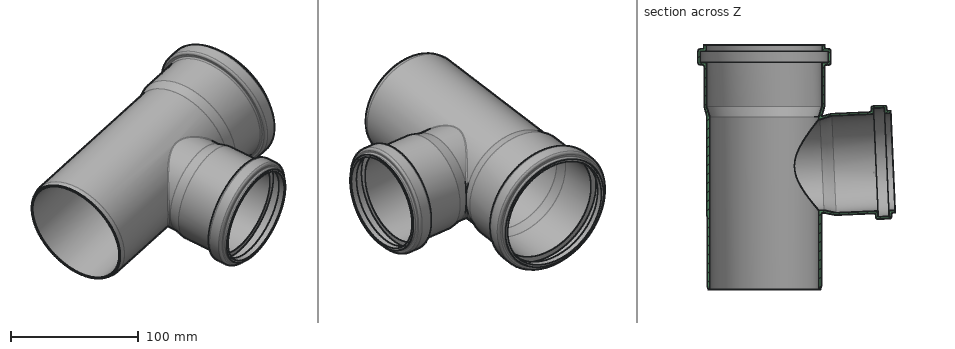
import cadquery as cq

RUN_LENGTH = 192.0
RUN_PIPE_D = 90.2
RUN_BORE_D = 85.4
SPIGOT_TAPER_LENGTH = 3.6
SPIGOT_END_D = 88.2

BRANCH_PIPE_D = 75.6
BRANCH_BORE_D = 71.0
BRANCH_TILT = 2.5
BRANCH_START_Y = RUN_LENGTH / 2
BRANCH_LENGTH = 101.18

SADDLE_FILLET = 1.0

LIP_LENGTH = 3.0
RING_EDGE_RADIUS = 2.0
RING_ROOT_RADIUS = 1.2

RUN_SOCKET = {
    "sleeve_d": 94.7,
    "ring_d": 104.5,
    "lip_d": 95.0,
    "wall": 2.1,
    "ring_back": 15.8,
    "sleeve_back": 48.2,
    "cone_back": 56.3,
}
BRANCH_SOCKET = {
    "sleeve_d": 80.0,
    "ring_d": 89.2,
    "lip_d": 80.3,
    "wall": 2.0,
    "ring_back": 15.5,
    "sleeve_back": 46.6,
    "cone_back": 56.0,
}


def revolve_about_y(profile):
    """Solid of revolution about Y from an open half section."""
    return profile.close().revolve(360, (0, 0, 0), (0, 1, 0))


def socket_body(length, pipe_d, socket):
    """Solid envelope of a socket: cone, sleeve, seal ring and lip, ending at Y = length."""
    sleeve_r = socket["sleeve_d"] / 2
    ring_r = socket["ring_d"] / 2
    lip_r = socket["lip_d"] / 2
    cone_foot = length - socket["cone_back"]
    ring_low = length - socket["ring_back"]
    ring_high = length - LIP_LENGTH
    edge = RING_EDGE_RADIUS
    root = RING_ROOT_RADIUS

    profile = (
        cq.Workplane("XY")
        .moveTo(0, cone_foot)
        .lineTo(pipe_d / 2, cone_foot)
        .lineTo(sleeve_r, length - socket["sleeve_back"])
        .lineTo(sleeve_r, ring_low - root)
        .radiusArc((sleeve_r + root, ring_low), root)
        .lineTo(ring_r - edge, ring_low)
        .radiusArc((ring_r, ring_low + edge), -edge)
        .lineTo(ring_r, ring_high - edge)
        .radiusArc((ring_r - edge, ring_high), -edge)
        .lineTo(lip_r + root, ring_high)
        .radiusArc((lip_r, ring_high + root), root)
        .lineTo(lip_r, length)
        .lineTo(0, length)
    )
    return revolve_about_y(profile)


def bore(length, bore_d, socket):
    """Inside space of a pipe and its socket along +Y, with a square seal groove in the ring."""
    wall = socket["wall"]
    sleeve_r = socket["sleeve_d"] / 2 - wall
    groove_r = socket["ring_d"] / 2 - wall
    lip_r = socket["lip_d"] / 2 - wall
    groove_low = length - socket["ring_back"] + wall
    groove_high = length - LIP_LENGTH - wall

    profile = (
        cq.Workplane("XY")
        .lineTo(bore_d / 2, 0)
        .lineTo(bore_d / 2, length - socket["cone_back"])
        .lineTo(sleeve_r, length - socket["sleeve_back"])
        .lineTo(sleeve_r, groove_low)
        .lineTo(groove_r, groove_low)
        .lineTo(groove_r, groove_high)
        .lineTo(lip_r, groove_high)
        .lineTo(lip_r, length)
        .lineTo(0, length)
    )
    return revolve_about_y(profile)


def place_branch(body):
    """Turn a body from the Y axis onto the branch axis."""
    turned = body.rotate((0, 0, 0), (0, 0, 1), BRANCH_TILT - 90)
    return turned.translate((0, BRANCH_START_Y, 0))


def run_pipe():
    """Solid envelope of the run's pipe, reaching up inside the cone of its socket."""
    length = RUN_LENGTH - RUN_SOCKET["sleeve_back"]
    profile = (
        cq.Workplane("XY")
        .lineTo(SPIGOT_END_D / 2, 0)
        .lineTo(RUN_PIPE_D / 2, SPIGOT_TAPER_LENGTH)
        .lineTo(RUN_PIPE_D / 2, length)
        .lineTo(0, length)
    )
    return revolve_about_y(profile)


def branch_pipe():
    """Solid envelope of the branch's pipe, in place, reaching inside its cone."""
    length = BRANCH_LENGTH - BRANCH_SOCKET["sleeve_back"]
    profile = (
        cq.Workplane("XY")
        .lineTo(BRANCH_PIPE_D / 2, 0)
        .lineTo(BRANCH_PIPE_D / 2, length)
        .lineTo(0, length)
    )
    return place_branch(revolve_about_y(profile))


def saddle_edges(body):
    """Edges where two pipes meet: the only ones that are not circles or lines."""
    free_curves = [e for e in body.edges().vals() if e.geomType() not in ("CIRCLE", "LINE")]
    return body.newObject(free_curves)


pipes = run_pipe().union(branch_pipe())
pipes = saddle_edges(pipes).fillet(SADDLE_FILLET)

run_socket = socket_body(RUN_LENGTH, RUN_PIPE_D, RUN_SOCKET)
branch_socket = place_branch(socket_body(BRANCH_LENGTH, BRANCH_PIPE_D, BRANCH_SOCKET))
tee = pipes.union(run_socket).union(branch_socket)

run_bore = bore(RUN_LENGTH, RUN_BORE_D, RUN_SOCKET)
branch_bore = place_branch(bore(BRANCH_LENGTH, BRANCH_BORE_D, BRANCH_SOCKET))
result = tee.cut(run_bore).cut(branch_bore)